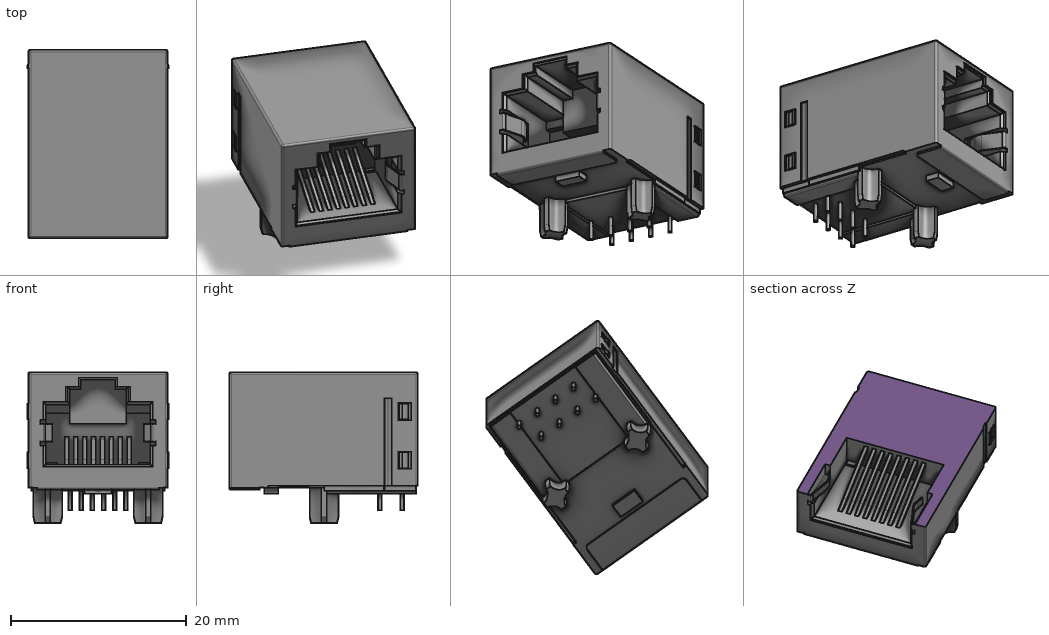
import cadquery as cq


SHELL_HALF_WIDTH = 7.93
LENGTH = 21.5
TOP_Z = 13.87
BODY_BOTTOM_Z = 0.7
SHELL_SIDE_BOTTOM_Z = 0.95
SHELL_SIDE_FRONT_Y = 4.39
SHELL_SIDE_CHAMFER = 0.17
SHELL_RADIUS = 0.25
SHELL_THICKNESS = 0.24

BASE_HALF_WIDTH = 7.61
BASE_REAR_HALF_WIDTH = 7.5
BASE_BOTTOM_Z = 0.32
BASE_FRONT_Y = 10.81
BASE_REAR_Y = 21.28
BASE_NARROWING_Y = 17.59
BASE_NARROWING_LENGTH = 0.15
RAIL_WIDTH = 2.8
RAIL_RADIUS = 0.3
STANDOFF_WIDTH = 3.1
STANDOFF_FRONT_Y = 4.0
STANDOFF_LENGTH = 1.61

LIP_HALF_WIDTH = 6.97
LIP_LENGTH = 3.48
LIP_THICKNESS = 0.24
LIP_CORNER_RADIUS = 0.47
LIP_BEND_RADIUS = 0.22

PEG_X = 5.72
PEG_Y = BASE_FRONT_Y
PEG_WIDTH = 3.31
PEG_ARM_WIDTH = 0.6
PEG_BOTTOM_Z = -3.33
PEG_TIP_LENGTH = 0.73
PEG_TIP_INSET = 0.17

PIN_COUNT = 8
PIN_ROW_SPAN = 8.9
PIN_PITCH = PIN_ROW_SPAN / (PIN_COUNT - 1)
PIN_DIAMETER = 0.45
PIN_ROWS_Y = (17.18, 19.7)
PIN_BOTTOM_Z = -1.9

MOUTH_HALF_WIDTH = 6.25
MOUTH_BOTTOM_Z = 3.07
MOUTH_TOP_Z = 10.47
MOUTH_STEP_HALF_WIDTH = 3.65
MOUTH_STEP_TOP_Z = 12.21
STEP_BEVEL_HALF_WIDTH = 3.42
MOUTH_SLOT_HALF_WIDTH = 2.17
MOUTH_SLOT_TOP_Z = 13.25
CAVITY_HALF_WIDTH = 5.93
CAVITY_BOTTOM_Z = 3.33
CAVITY_TOP_Z = 10.17
STEP_HALF_WIDTH = 3.2
STEP_TOP_Z = 11.91
SLOT_HALF_WIDTH = 1.98
SLOT_TOP_Z = 12.96
BEVEL_END_Y = 0.5
BACK_Y = 10.32
LEDGE_Y = 9.45
LEDGE_BOTTOM_Z = 9.15
LATCH_STOP_Y = 8.6
LATCH_STOP_BOTTOM_Z = 7.98
FOOT_WIDTH = 1.16
FOOT_GAP = 0.1
FOOT_HEIGHT = 0.22
FOOT_LENGTH = 0.65

CONTACT_COUNT = 8
CONTACT_ROW_SPAN = 7.12
CONTACT_PITCH = CONTACT_ROW_SPAN / (CONTACT_COUNT - 1)
CONTACT_WIDTH = 0.47
CONTACT_FRONT_Y = 2.36
CONTACT_HEEL_Y = 3.0
CONTACT_BEND_Y = 3.91
CONTACT_BEND_Z = 3.95
CONTACT_END_Z = 6.47
CONTACT_THICKNESS = 0.25

SPRING_BOTTOM_Z = 5.93
SPRING_TOP_Z = 7.98
RELIEF_HEIGHT = 0.47
RELIEF_RADIUS = 0.17
POCKET_HALF_WIDTH = 6.58
POCKET_END_Y = 5.38
SPRING_THICKNESS = 0.17
SPRING_BEND_MIDDLE = (6.08, 0.09)
SPRING_BEND_END = (6.02, 0.32)
SPRING_CURVE_START = (5.27, 2.65)
SPRING_APEX = (5.22, 3.07)
SPRING_CURVE_END = (5.35, 3.6)
SPRING_END = (5.61, 4.47)

WINDOW_FRONT_Y = 19.29
WINDOW_LENGTH = 1.46
WINDOW_HEIGHT = 1.95
WINDOW_CENTERS_Z = (3.83, 9.37)
WINDOW_DEPTH = 0.25
WINDOW_GAP = 0.09
TAB_PROUD = 0.097
TAB_REAR_Y = 20.4
TAB_CREST_Y = 19.7
TAB_FRONT_Y = 19.4
SEAM_REAR_Y = 18.53
SEAM_RAMP_Y = 18.04
SEAM_RIM_Y = 17.74
SEAM_FRONT_Y = 17.65
SEAM_TOP_Z = 10.9
SEAM_DEPTH = 0.15
SEAM_RIM_DEPTH = 0.09


def block(x0, x1, y0, y1, z0, z1):
    return cq.Workplane("XY").box(x1 - x0, y1 - y0, z1 - z0, centered=False).translate((x0, y0, z0))


def centred_block(half_width, y0, y1, z0, z1):
    return block(-half_width, half_width, y0, y1, z0, z1)


def plan_prism(points, z0, z1):
    return cq.Workplane("XY").workplane(offset=z0).polyline(points).close().extrude(z1 - z0)


def mirrored(solid):
    """The solid together with its mirror image across the mid plane."""
    return solid.union(solid.mirror("YZ"))


def bevel(half_width, bottom, top, end_half_width, end_bottom, end_top):
    """Rectangular funnel narrowing from the back of the shell wall to the end of the bevel."""
    start_y = SHELL_THICKNESS
    return (
        cq.Workplane("XZ", origin=(0, start_y, (bottom + top) / 2))
        .rect(2 * half_width, top - bottom)
        .workplane(offset=start_y - BEVEL_END_Y)
        .center(0, (end_bottom + end_top - bottom - top) / 2)
        .rect(2 * end_half_width, end_top - end_bottom)
        .loft(ruled=True)
    )


def shell():
    side_cut = block(
        BASE_REAR_HALF_WIDTH, SHELL_HALF_WIDTH, SHELL_SIDE_FRONT_Y, LENGTH,
        BODY_BOTTOM_Z, SHELL_SIDE_BOTTOM_Z,
    )
    side_cut = side_cut.edges("<Y and >Z").chamfer(SHELL_SIDE_CHAMFER)
    rear_cut = centred_block(SHELL_HALF_WIDTH, BASE_REAR_Y, LENGTH, BODY_BOTTOM_Z, SHELL_SIDE_BOTTOM_Z)
    body = centred_block(SHELL_HALF_WIDTH, 0, LENGTH, BODY_BOTTOM_Z, TOP_Z)
    body = body.edges("|Z or >Z").fillet(SHELL_RADIUS)
    return body.cut(mirrored(side_cut)).cut(rear_cut)


def base():
    slope_end_y = BASE_NARROWING_Y + BASE_NARROWING_LENGTH
    half_plan = [
        (0, BASE_FRONT_Y),
        (BASE_HALF_WIDTH, BASE_FRONT_Y),
        (BASE_HALF_WIDTH, BASE_NARROWING_Y),
        (BASE_REAR_HALF_WIDTH, slope_end_y),
        (BASE_REAR_HALF_WIDTH, BASE_REAR_Y),
        (0, BASE_REAR_Y),
    ]
    plate = mirrored(plan_prism(half_plan, BASE_BOTTOM_Z, SHELL_SIDE_BOTTOM_Z))
    rail_outer_x = PEG_X + PEG_WIDTH / 2
    rail_front_y = PEG_Y + PEG_ARM_WIDTH / 2
    rail = block(rail_outer_x - RAIL_WIDTH, rail_outer_x, rail_front_y, BASE_REAR_Y, 0, BODY_BOTTOM_Z)
    rail = rail.edges(">X and <Z").fillet(RAIL_RADIUS)
    standoff = centred_block(
        STANDOFF_WIDTH / 2, STANDOFF_FRONT_Y, STANDOFF_FRONT_Y + STANDOFF_LENGTH, 0, SHELL_SIDE_BOTTOM_Z
    )
    return plate.union(mirrored(rail)).union(standoff)


def front_lip():
    lip_bottom = BODY_BOTTOM_Z - LIP_THICKNESS
    lip = centred_block(LIP_HALF_WIDTH, 0, LIP_LENGTH, lip_bottom, SHELL_SIDE_BOTTOM_Z)
    lip = lip.edges("|Z and >Y").fillet(LIP_CORNER_RADIUS)
    return lip.edges("<Y and <Z").fillet(LIP_BEND_RADIUS)


def peg():
    """Cross-shaped peg: a square post with a concave flute along each corner."""
    half = PEG_WIDTH / 2
    flute_radius = half - PEG_ARM_WIDTH / 2
    tip_z = PEG_BOTTOM_Z + PEG_TIP_LENGTH
    post = cq.Workplane("XY").workplane(offset=tip_z).rect(PEG_WIDTH, PEG_WIDTH)
    post = post.extrude(SHELL_SIDE_BOTTOM_Z - tip_z)
    tip_width = PEG_WIDTH - 2 * PEG_TIP_INSET
    tip = (
        cq.Workplane("XY").workplane(offset=PEG_BOTTOM_Z).rect(tip_width, tip_width)
        .workplane(offset=PEG_TIP_LENGTH).rect(PEG_WIDTH, PEG_WIDTH).loft(ruled=True)
    )
    flutes = (
        cq.Workplane("XY").workplane(offset=PEG_BOTTOM_Z).rect(PEG_WIDTH, PEG_WIDTH, forConstruction=True)
        .vertices().circle(flute_radius).extrude(SHELL_SIDE_BOTTOM_Z - PEG_BOTTOM_Z)
    )
    return post.union(tip).cut(flutes).translate((PEG_X, PEG_Y, 0))


def pins():
    centers = []
    for index in range(PIN_COUNT):
        x = (index - (PIN_COUNT - 1) / 2) * PIN_PITCH
        centers.append((x, PIN_ROWS_Y[index % 2]))
    return (
        cq.Workplane("XY").workplane(offset=PIN_BOTTOM_Z).pushPoints(centers)
        .circle(PIN_DIAMETER / 2).extrude(SHELL_SIDE_BOTTOM_Z - PIN_BOTTOM_Z)
    )


def socket():
    """Everything removed to form the stepped plug opening."""
    mouth = centred_block(MOUTH_HALF_WIDTH, 0, SHELL_THICKNESS, MOUTH_BOTTOM_Z, MOUTH_TOP_Z)
    mouth = mouth.union(
        centred_block(MOUTH_STEP_HALF_WIDTH, 0, SHELL_THICKNESS, MOUTH_BOTTOM_Z, MOUTH_STEP_TOP_Z)
    )
    mouth = mouth.union(
        centred_block(MOUTH_SLOT_HALF_WIDTH, 0, SHELL_THICKNESS, MOUTH_BOTTOM_Z, MOUTH_SLOT_TOP_Z)
    )
    main_bevel = bevel(
        MOUTH_HALF_WIDTH, MOUTH_BOTTOM_Z, MOUTH_TOP_Z, CAVITY_HALF_WIDTH, CAVITY_BOTTOM_Z, CAVITY_TOP_Z
    )
    step_bevel = bevel(
        STEP_BEVEL_HALF_WIDTH, CAVITY_BOTTOM_Z, MOUTH_STEP_TOP_Z,
        STEP_HALF_WIDTH, CAVITY_BOTTOM_Z, STEP_TOP_Z,
    )
    cavity = centred_block(CAVITY_HALF_WIDTH, 0, BACK_Y, CAVITY_BOTTOM_Z, LEDGE_BOTTOM_Z)
    upper = centred_block(CAVITY_HALF_WIDTH, 0, LEDGE_Y, CAVITY_BOTTOM_Z, CAVITY_TOP_Z)
    step = centred_block(STEP_HALF_WIDTH, 0, LATCH_STOP_Y, CAVITY_BOTTOM_Z, STEP_TOP_Z)
    slot = centred_block(SLOT_HALF_WIDTH, 0, LATCH_STOP_Y, CAVITY_BOTTOM_Z, SLOT_TOP_Z)
    latch_stop = centred_block(STEP_HALF_WIDTH, LATCH_STOP_Y, BACK_Y, LATCH_STOP_BOTTOM_Z, CAVITY_TOP_Z)
    foot_outer_x = CAVITY_HALF_WIDTH - FOOT_GAP
    foot = block(
        foot_outer_x - FOOT_WIDTH, foot_outer_x, BACK_Y - FOOT_LENGTH, BACK_Y,
        CAVITY_BOTTOM_Z, CAVITY_BOTTOM_Z + FOOT_HEIGHT,
    )
    opening = mouth.union(main_bevel).union(step_bevel).union(cavity).union(upper).union(step).union(slot)
    return opening.cut(latch_stop).cut(mirrored(foot))


def spring_pocket():
    pocket = block(
        0, POCKET_HALF_WIDTH, 0, POCKET_END_Y, SPRING_BOTTOM_Z - RELIEF_HEIGHT, SPRING_TOP_Z + RELIEF_HEIGHT
    )
    return mirrored(pocket.edges("|Y and >X").fillet(RELIEF_RADIUS))


def springs():
    """Shell strip folded back from the mouth edge, leaning inward and then turning outward again."""
    def behind(point):
        return (point[0] + SPRING_THICKNESS, point[1])

    spring = (
        cq.Workplane("XY").workplane(offset=SPRING_BOTTOM_Z)
        .moveTo(POCKET_HALF_WIDTH, 0)
        .lineTo(MOUTH_HALF_WIDTH, 0)
        .threePointArc(SPRING_BEND_MIDDLE, SPRING_BEND_END)
        .lineTo(*SPRING_CURVE_START)
        .threePointArc(SPRING_APEX, SPRING_CURVE_END)
        .lineTo(*SPRING_END)
        .lineTo(*behind(SPRING_END))
        .lineTo(*behind(SPRING_CURVE_END))
        .threePointArc(behind(SPRING_APEX), behind(SPRING_CURVE_START))
        .lineTo(*behind(SPRING_BEND_END))
        .lineTo(MOUTH_HALF_WIDTH, SPRING_THICKNESS)
        .lineTo(POCKET_HALF_WIDTH, SPRING_THICKNESS)
        .close()
        .extrude(SPRING_TOP_Z - SPRING_BOTTOM_Z)
    )
    return mirrored(spring)


def contacts():
    """Row of wires rising from the socket floor to the back wall."""
    profile = [
        (CONTACT_FRONT_Y, CAVITY_BOTTOM_Z),
        (CONTACT_BEND_Y, CONTACT_BEND_Z),
        (BACK_Y, CONTACT_END_Z),
        (BACK_Y, CONTACT_END_Z - CONTACT_THICKNESS),
        (CONTACT_BEND_Y, CONTACT_BEND_Z - CONTACT_THICKNESS),
        (CONTACT_HEEL_Y, CAVITY_BOTTOM_Z),
    ]
    wire = cq.Workplane("YZ").polyline(profile).close().extrude(CONTACT_WIDTH / 2, both=True)
    row = cq.Workplane("XY")
    for index in range(CONTACT_COUNT):
        x = (index - (CONTACT_COUNT - 1) / 2) * CONTACT_PITCH
        row = row.union(wire.translate((x, 0, 0)))
    return row


def seam_groove():
    profile = [
        (SHELL_HALF_WIDTH, SEAM_REAR_Y),
        (SHELL_HALF_WIDTH - SEAM_DEPTH, SEAM_REAR_Y),
        (SHELL_HALF_WIDTH - SEAM_DEPTH, SEAM_RAMP_Y),
        (SHELL_HALF_WIDTH - SEAM_RIM_DEPTH, SEAM_RIM_Y),
        (SHELL_HALF_WIDTH, SEAM_FRONT_Y),
    ]
    return mirrored(plan_prism(profile, SHELL_SIDE_BOTTOM_Z, SEAM_TOP_Z))


def add_latch_windows(body):
    """Cut shallow windows in both sides and leave a proud ramped tab in each."""
    floor_x = SHELL_HALF_WIDTH - WINDOW_DEPTH
    crest_x = SHELL_HALF_WIDTH + TAB_PROUD
    tab_plan = [
        (floor_x, TAB_REAR_Y),
        (crest_x, TAB_CREST_Y),
        (crest_x, TAB_FRONT_Y),
        (floor_x, TAB_FRONT_Y),
    ]
    for z in WINDOW_CENTERS_Z:
        z0 = z - WINDOW_HEIGHT / 2
        z1 = z + WINDOW_HEIGHT / 2
        window = block(floor_x, SHELL_HALF_WIDTH, WINDOW_FRONT_Y, WINDOW_FRONT_Y + WINDOW_LENGTH, z0, z1)
        tab = plan_prism(tab_plan, z0 + WINDOW_GAP, z1 - WINDOW_GAP)
        body = body.cut(mirrored(window)).union(mirrored(tab))
    return body


result = shell().union(base()).union(front_lip())
result = result.union(mirrored(peg())).union(pins())
result = result.cut(socket()).cut(spring_pocket())
result = result.union(springs()).union(contacts())
result = add_latch_windows(result.cut(seam_groove()))